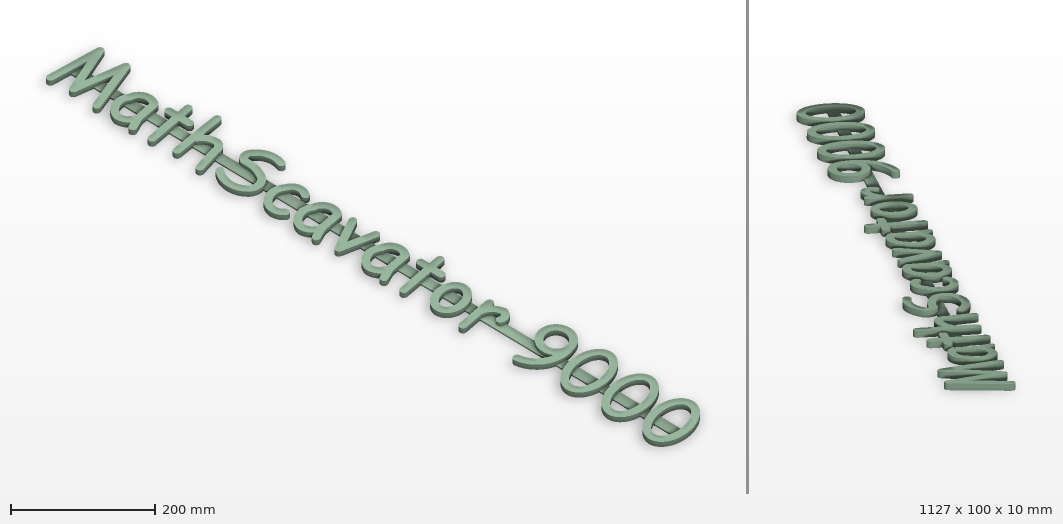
import cadquery as cq
import math

LENGTH = 1127.0
HEIGHT = 100.0
LETTER_THICKNESS = 10.0
PEN_WIDTH = 12.0
PEN_RADIUS = PEN_WIDTH / 2

BAR_THICKNESS = 3.0
BAR_BOTTOM = -15.0
BAR_TOP = 2.0
BAR_END_INSET = 11.0

TOP_LINE = HEIGHT / 2 - PEN_RADIUS
BASE_LINE = -TOP_LINE
CAP_LINE = 41.0
X_LINE = 14.0
T_CROSSBAR_LINE = 12.0

A_OFFSETS = (0, 333.0, 455.0)
T_OFFSETS = (0, 457.0)

ZERO_COUNT = 3
ZERO_PITCH = 74.0
ZERO_WIDTH = 67.0
ZERO_HEIGHT = 96.0
ZERO_MIDDLE = 1.0


def bent(*points):
    """Chain of round-ended arcs: start, then a point on the arc and an end for each."""
    pieces = []
    for i in range(0, len(points) - 2, 2):
        path = cq.Workplane("XY").moveTo(*points[i]).threePointArc(points[i + 1], points[i + 2])
        pieces.append(path.offset2D(PEN_RADIUS).extrude(LETTER_THICKNESS))
    return pieces


def straight(*points):
    """Chain of round-ended straight strokes through the points."""
    pieces = []
    for (x0, y0), (x1, y1) in zip(points, points[1:]):
        length = math.hypot(x1 - x0, y1 - y0)
        angle = math.degrees(math.atan2(y1 - y0, x1 - x0))
        middle = cq.Workplane("XY").center((x0 + x1) / 2, (y0 + y1) / 2)
        pieces.append(middle.slot2D(length + PEN_WIDTH, PEN_WIDTH, angle).extrude(LETTER_THICKNESS))
    return pieces


def oval(x, y, width, height):
    """Closed ring one pen wide with the given outer size."""
    ring = cq.Workplane("XY").center(x, y).ellipse(width / 2, height / 2)
    ring = ring.ellipse(width / 2 - PEN_WIDTH, height / 2 - PEN_WIDTH)
    return [ring.extrude(LETTER_THICKNESS)]


def shifted(pieces, offset):
    """Copies of the pieces moved along X."""
    return [piece.translate((offset, 0, 0)) for piece in pieces]


def letter_m():
    return straight(
        (PEN_RADIUS, BASE_LINE), (25.0, CAP_LINE), (45.0, -CAP_LINE), (72.0, CAP_LINE), (90.0, BASE_LINE)
    )


def letter_a():
    bowl = bent(
        (150.0, 9.0), (131.0, X_LINE), (115.0, -2.0), (109.0, -25.0), (126.0, -42.0), (142.0, -36.0), (150.0, -20.0)
    )
    return bowl + straight((150.0, 9.0), (150.0, -26.0), (155.0, BASE_LINE))


def letter_t():
    stem = straight((190.0, 34.0), (190.0, BASE_LINE))
    return stem + straight((174.0, T_CROSSBAR_LINE), (211.0, T_CROSSBAR_LINE))


def letter_h():
    stem = straight((235.0, TOP_LINE), (232.0, -40.0))
    arch = bent((238.0, -3.0), (251.0, 7.0), (264.0, 9.0), (270.0, 5.0), (273.0, -6.0))
    return stem + arch + straight((273.0, -6.0), (277.0, BASE_LINE))


def letter_s():
    upper = bent((358.0, 35.0), (334.0, 36.0), (315.0, 24.0), (310.0, 15.0), (317.0, 6.0))
    lower = bent(
        (317.0, 6.0), (340.0, 3.0), (356.0, -5.0), (362.0, -17.0), (355.0, -33.0), (327.0, -42.0), (302.0, -30.0)
    )
    return upper + lower


def letter_c():
    return bent(
        (424.0, 9.0), (408.0, X_LINE), (393.0, 2.0), (385.0, -18.0), (395.0, -36.0), (411.0, -41.0), (424.0, -34.0)
    )


def letter_v():
    return straight((506.0, X_LINE), (526.0, -CAP_LINE), (548.0, X_LINE))


def letter_o():
    return oval(707.0, -14.0, 53.0, 65.0)


def letter_r():
    stem = straight((754.0, X_LINE), (754.0, BASE_LINE))
    return stem + bent((755.0, -7.0), (767.0, 8.0), (780.0, X_LINE), (786.0, 10.0), (787.0, -2.0))


def digit_9():
    return oval(871.0, 18.0, 61.0, 60.0) + bent((896.0, 17.0), (886.0, -24.0), (852.0, BASE_LINE))


def zeros():
    rings = []
    last_zero_x = LENGTH - ZERO_WIDTH / 2
    for i in range(ZERO_COUNT):
        rings += oval(last_zero_x - i * ZERO_PITCH, ZERO_MIDDLE, ZERO_WIDTH, ZERO_HEIGHT)
    return rings


def connecting_bar():
    return cq.Workplane("XY").box(
        LENGTH - 2 * BAR_END_INSET, BAR_TOP - BAR_BOTTOM, BAR_THICKNESS, centered=False
    ).translate((BAR_END_INSET, BAR_BOTTOM, 0))


strokes = letter_m() + letter_h() + letter_s() + letter_c() + letter_v() + letter_o() + letter_r()
strokes += digit_9() + zeros()
for offset in A_OFFSETS:
    strokes += shifted(letter_a(), offset)
for offset in T_OFFSETS:
    strokes += shifted(letter_t(), offset)

result = connecting_bar()
for stroke in strokes:
    result = result.union(stroke)